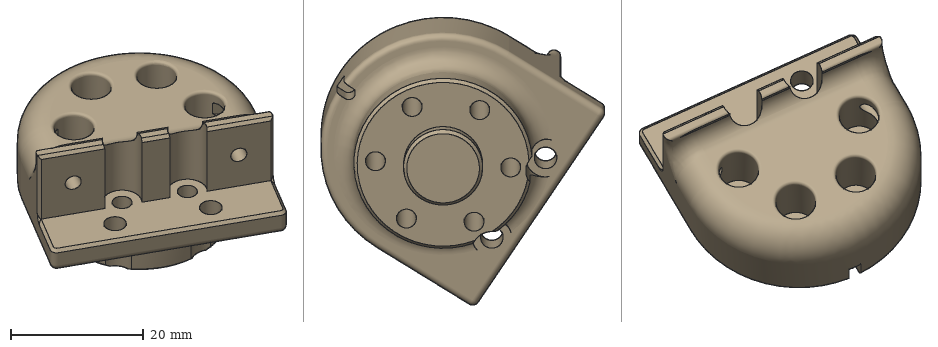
import cadquery as cq
import math

BASE_Z = 2.0
FLANGE_Z = 8.5
PLATE_TOP_Z = 12.5
DOME_TOP_Z = 21.5
WALL_TOP_Z = 24.5

BODY_R = 18.5
WALL_FRONT_X = 7.62
WALL_BACK_X = 9.62
PLATE_END_X = 17.6

BOSS_R = 6.0
BASE_R = 13.5
NECK_R = 3.0

DOME_ROUND = BODY_R - BASE_R
COVE_R = WALL_TOP_Z - DOME_TOP_Z
FLANGE_ROUND = 1.0
CORNER_ROUND = 1.0
SMALL_EDGE = FLANGE_ROUND / 2
BEVEL_RUNOUT_R = 1.48

SCREW_COUNT = 6
FIRST_SCREW_ANGLE = 30.0
SCREW_PITCH_R = 10.25
HEAD_POCKET_R = 3.0
SCREW_HOLE_R = HEAD_POCKET_R / 2

PLATE_HOLE_X = 13.6
PLATE_HOLE_Y = 7.5
PLATE_HOLE_R = 1.7
PLATE_HEAD_R = 3.0

GROOVE_R = 1.0
GROOVE_DEPTH = 2.48
GROOVE_TOP_Z = 12.0

PILOT_R = 1.25
PILOT_Y = 13.0
PILOT_Z = 18.5
PILOT_DEPTH = 12.0

COVE_START_X = WALL_FRONT_X - COVE_R
DOME_ROUND_Z = DOME_TOP_Z - DOME_ROUND
DOME_FLAT_Y = BODY_R - DOME_ROUND

SELECT_GAP = 0.05


def vertical_cylinder(x, y, radius, bottom, top):
    """Upright cylinder at (x, y) between two heights."""
    return cq.Workplane("XY", origin=(x, y, bottom)).circle(radius).extrude(top - bottom)


def rounded_outline(end_x, bottom, top):
    """Half disc with straight sides running to end_x, between two heights."""
    return (
        cq.Workplane("XY", origin=(0, 0, bottom))
        .moveTo(end_x, -BODY_R)
        .lineTo(0, -BODY_R)
        .threePointArc((-BODY_R, 0), (0, BODY_R))
        .lineTo(end_x, BODY_R)
        .close()
        .extrude(top - bottom)
    )


def make_plate():
    """Flange and rear plate, with rounded corners and a rounded lower edge."""
    plate = rounded_outline(PLATE_END_X, FLANGE_Z, PLATE_TOP_Z)
    plate = plate.edges("|Z and >X").fillet(CORNER_ROUND)
    plate = plate.faces("<Z").edges().fillet(FLANGE_ROUND)
    return plate.faces(">Z").edges().chamfer(SMALL_EDGE)


def make_dome():
    """Domed body with a large round on its curved and straight top edges."""
    dome = rounded_outline(WALL_FRONT_X, FLANGE_Z + FLANGE_ROUND, DOME_TOP_Z)
    return dome.faces(">Z").edges("not >X").fillet(DOME_ROUND)


def cove_profile(top):
    """Space above the cove in the XZ plane, up to the given height."""
    half = math.sqrt(0.5) * COVE_R
    return (
        cq.Workplane("XZ", origin=(0, DOME_FLAT_Y, 0))
        .moveTo(COVE_START_X, DOME_TOP_Z)
        .threePointArc(
            (COVE_START_X + half, DOME_TOP_Z + COVE_R - half),
            (WALL_FRONT_X, DOME_TOP_Z + COVE_R),
        )
        .lineTo(WALL_FRONT_X, top)
        .lineTo(COVE_START_X, top)
        .close()
    )


def make_plain_wall():
    """Upright square-edged wall whose front face sweeps down over the dome in a cove."""
    bottom = FLANGE_Z + FLANGE_ROUND
    wall = cq.Workplane("XY").box(
        WALL_BACK_X - COVE_START_X, 2 * BODY_R, WALL_TOP_Z - bottom, centered=(False, True, False)
    )
    wall = wall.translate((COVE_START_X, 0, bottom))
    space_top = DOME_TOP_Z + 2 * COVE_R
    wall = wall.cut(cove_profile(space_top).extrude(2 * DOME_FLAT_Y))
    corner = cove_profile(space_top).revolve(90, (0, DOME_ROUND_Z, 0), (-1, DOME_ROUND_Z, 0))
    return wall.cut(corner).cut(corner.mirror("XZ"))


def round_wall_sides(wall):
    """Round the side edges where the cove runs out, fading away at the foot of the cove."""
    for y in (-BODY_R, BODY_R):
        side_zone = cq.selectors.BoxSelector(
            (COVE_START_X - SELECT_GAP, y - SELECT_GAP, DOME_ROUND_Z - SELECT_GAP),
            (WALL_FRONT_X + SELECT_GAP, y + SELECT_GAP, WALL_TOP_Z + SELECT_GAP),
            boundingbox=True,
        )
        wall = wall.edges(side_zone).fillet(CORNER_ROUND)
    return wall


def round_wall_top(wall):
    """Round the front of the wall's top edge straight across from side to side."""
    half = math.sqrt(0.5) * SMALL_EDGE
    round_x = WALL_FRONT_X + SMALL_EDGE
    round_z = WALL_TOP_Z - SMALL_EDGE
    sliver = (
        cq.Workplane("XZ")
        .moveTo(WALL_FRONT_X, round_z)
        .threePointArc((round_x - half, round_z + half), (round_x, WALL_TOP_Z))
        .lineTo(WALL_FRONT_X, WALL_TOP_Z)
        .close()
        .extrude(BODY_R, both=True)
    )
    return wall.cut(sliver)


def make_wall():
    """Finished wall: rounded at the front, bevelled along the back."""
    wall = round_wall_top(round_wall_sides(make_plain_wall()))
    return wall.faces(">X").edges("not <Z").chamfer(SMALL_EDGE)


def make_bevel_runout(outer_y, inner_y):
    """Concave filler where the wall and plate bevels meet in the inner corner of one side."""
    corner_x = WALL_BACK_X - SMALL_EDGE
    corner_z = PLATE_TOP_Z - SMALL_EDGE
    bulge = (1 - math.sqrt(0.5)) * BEVEL_RUNOUT_R
    return (
        cq.Workplane("XZ", origin=(0, outer_y, 0))
        .moveTo(corner_x, corner_z)
        .lineTo(corner_x, corner_z + BEVEL_RUNOUT_R)
        .threePointArc((corner_x + bulge, corner_z + bulge), (corner_x + BEVEL_RUNOUT_R, corner_z))
        .close()
        .extrude(outer_y - inner_y)
    )


def make_base():
    """Round base with a concave neck under the flange, and the centre boss."""
    half = math.sqrt(0.5) * NECK_R
    neck_z = FLANGE_Z - NECK_R
    neck_top_r = BASE_R + NECK_R
    return (
        cq.Workplane("XZ")
        .lineTo(BOSS_R - SMALL_EDGE, 0)
        .lineTo(BOSS_R, SMALL_EDGE)
        .lineTo(BOSS_R, BASE_Z)
        .lineTo(BASE_R - SMALL_EDGE, BASE_Z)
        .lineTo(BASE_R, BASE_Z + SMALL_EDGE)
        .lineTo(BASE_R, neck_z)
        .threePointArc((neck_top_r - half, neck_z + half), (neck_top_r, FLANGE_Z))
        .lineTo(neck_top_r, FLANGE_Z + FLANGE_ROUND)
        .lineTo(0, FLANGE_Z + FLANGE_ROUND)
        .close()
        .revolve(360, (0, 0, 0), (0, 1, 0))
    )


def cut_screw_holes(body):
    """Six through holes, each under a head pocket that opens at the top."""
    for index in range(SCREW_COUNT):
        angle = math.radians(FIRST_SCREW_ANGLE + index * 360 / SCREW_COUNT)
        x = SCREW_PITCH_R * math.cos(angle)
        y = SCREW_PITCH_R * math.sin(angle)
        body = body.cut(vertical_cylinder(x, y, SCREW_HOLE_R, 0, WALL_TOP_Z))
        body = body.cut(vertical_cylinder(x, y, HEAD_POCKET_R, PLATE_TOP_Z, WALL_TOP_Z))
    return body


def round_pocket_rims(body):
    """Round the rims of the head pockets that open in the flat top of the dome."""
    rim_zone = cq.selectors.BoxSelector(
        (SELECT_GAP - DOME_FLAT_Y, -DOME_FLAT_Y, DOME_TOP_Z - SELECT_GAP),
        (COVE_START_X, DOME_FLAT_Y, DOME_TOP_Z + SELECT_GAP),
        boundingbox=True,
    )
    return body.edges(rim_zone).edges("%CIRCLE").fillet(SMALL_EDGE)


def cut_plate_holes(body):
    """Two rear holes with screw head clearance cut up through the neck."""
    for y in (-PLATE_HOLE_Y, PLATE_HOLE_Y):
        body = body.cut(vertical_cylinder(PLATE_HOLE_X, y, PLATE_HOLE_R, 0, PLATE_TOP_Z))
        body = body.cut(vertical_cylinder(PLATE_HOLE_X, y, PLATE_HEAD_R, 0, FLANGE_Z))
    return body


def cut_pilot_holes(body):
    """Blind holes bored forward from the back of the wall, breaking into the outer head pockets."""
    for y in (-PILOT_Y, PILOT_Y):
        hole = cq.Workplane("YZ", origin=(WALL_BACK_X, y, PILOT_Z)).circle(PILOT_R).extrude(-PILOT_DEPTH)
        body = body.cut(hole)
    return body


def cut_nose_groove(body):
    """Upright groove with a half-round inner end, open at the nose and underneath."""
    groove = cq.Workplane("XY").center(-BODY_R, 0).slot2D(2 * GROOVE_DEPTH, 2 * GROOVE_R)
    return body.cut(groove.extrude(GROOVE_TOP_Z))


body = make_plate().union(make_base()).union(make_dome()).union(make_wall())
for side in (-1, 1):
    body = body.union(make_bevel_runout(side * BODY_R, side * (BODY_R - SMALL_EDGE)))
body = cut_screw_holes(body)
body = round_pocket_rims(body)
body = cut_plate_holes(body)
body = cut_pilot_holes(body)
body = cut_nose_groove(body)
result = body